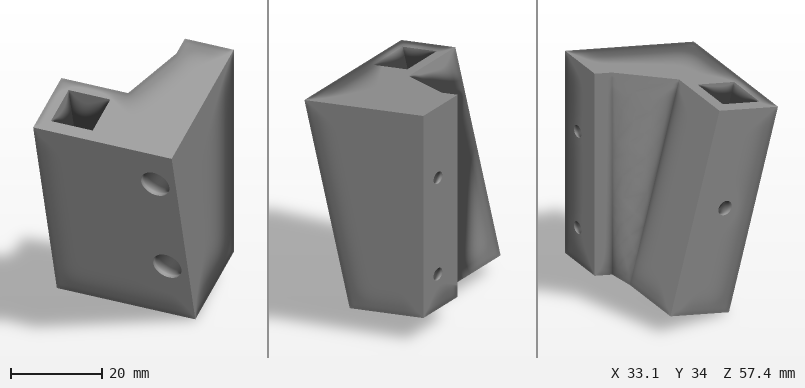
import cadquery as cq
import math


total_width = 33.1
total_depth = 34.0
front_face_length = 50.0
lean = math.radians(15)
lean_sin = math.sin(lean)
lean_cos = math.cos(lean)
bottom_front_y = front_face_length * lean_sin - total_depth

tube_wall = 3.0
socket_size = 10.0
tube_size = socket_size + 2 * tube_wall
cross_hole_diameter = 3.5
cross_hole_from_top = 24.15

block_width = 11.7
block_left = total_width - block_width
flange_thickness = 4.6

screw_diameter = 3.0
counterbore_diameter = 6.8
screw_from_right = 5.0
lower_screw_z = 14.6
screw_spacing = 24.7
seat_y = -flange_thickness


def side_point(up, inward):
    """(Y, Z) of a point: distance up the leaning front face, then square inward from it."""
    y = bottom_front_y - up * lean_sin + inward * lean_cos
    z = up * lean_cos + inward * lean_sin
    return y, z


def reach_to_plane(up, y):
    """Inward distance from the front face to the vertical plane at the given Y."""
    return (y - side_point(up, 0)[0]) / lean_cos


def leaning_rectangle(near, far):
    """Side outline between two depths behind the front face, over its full length."""
    return [
        side_point(0, near),
        side_point(0, far),
        side_point(front_face_length, far),
        side_point(front_face_length, near),
    ]


def upright_back_outline(back_y):
    """Side outline from the leaning front face to a vertical back at the given Y."""
    return [
        side_point(0, 0),
        side_point(0, reach_to_plane(0, back_y)),
        side_point(front_face_length, reach_to_plane(front_face_length, back_y)),
        side_point(front_face_length, 0),
    ]


def side_prism(outline, left, width):
    return cq.Workplane("YZ").workplane(offset=left).polyline(outline).close().extrude(width)


def make_web():
    """Ruled transition from the tube's leaning back to the vertical flange line."""
    return (
        cq.Workplane("YZ")
        .workplane(offset=tube_size)
        .polyline(leaning_rectangle(0, tube_size))
        .close()
        .workplane(offset=block_left - tube_size)
        .polyline(upright_back_outline(-flange_thickness))
        .close()
        .loft(ruled=True)
    )


def y_cylinder(x, z, diameter, back_y):
    """Cylinder along Y from the given Y out past the front of the part."""
    length = total_depth + back_y
    return cq.Workplane("XZ", origin=(x, back_y, z)).circle(diameter / 2).extrude(length)


tube = side_prism(leaning_rectangle(0, tube_size), 0, tube_size)
block = side_prism(upright_back_outline(0), block_left, block_width)
body = tube.union(make_web(), clean=False).union(block, clean=False)

socket_outline = leaning_rectangle(tube_wall, tube_wall + socket_size)
body = body.cut(side_prism(socket_outline, tube_wall, socket_size), clean=False)

cross_y, cross_z = side_point(front_face_length - cross_hole_from_top, tube_size / 2)
cross_hole = (
    cq.Workplane("YZ", origin=(0, cross_y, cross_z))
    .circle(cross_hole_diameter / 2)
    .extrude(tube_size / 2)
)
body = body.cut(cross_hole, clean=False)

screw_x = total_width - screw_from_right
for screw_z in (lower_screw_z, lower_screw_z + screw_spacing):
    body = body.cut(y_cylinder(screw_x, screw_z, screw_diameter, 0), clean=False)
    body = body.cut(y_cylinder(screw_x, screw_z, counterbore_diameter, seat_y), clean=False)

result = body